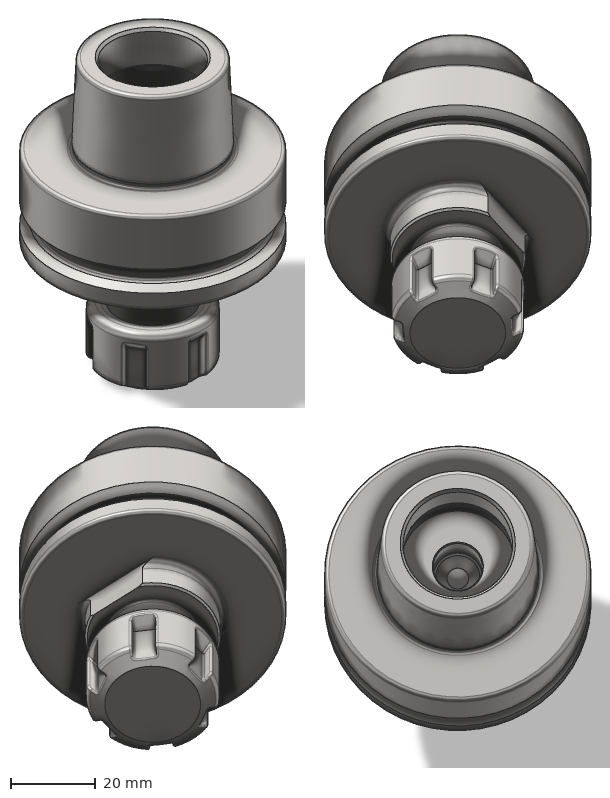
import cadquery as cq
import math


tolerance = 0.001

nut_top = 17.85
collar_bottom = 25.9
flange_bottom = 34.0
flange_top = 60.0
taper_bottom = 62.05
total_height = 85.0

nut_radius = 15.7
nut_face_radius = 11.3
nut_cone_angle = 30.0
nut_cone_height = (nut_radius - nut_face_radius) * math.tan(math.radians(nut_cone_angle))
nut_bottom_fillet = 1.7
nut_top_fillet = 2.0
nut_mouth_radius = 12.4
nut_mouth_depth = 0.4
nut_land_bottom = nut_cone_height + nut_bottom_fillet * math.tan(math.radians(90 - nut_cone_angle) / 2)

slot_count = 6
first_slot_angle = 30
slot_half_width = 2.8
slot_floor_radius = 12.9
slot_floor_top = 12.0
slot_reach = 5.1
slot_inner_fillet = 0.4
slot_rim_fillet = 0.5
short_slot_angle = 150
short_slot_drop = 1.1

neck_radius = 11.05
neck_fillet = 0.5
collar_radius = 16.0
collar_flat_distance = 13.9
collar_chamfer = 0.5
collar_fillet = 1.95

flange_diameter = 63.0
flange_radius = flange_diameter / 2
flange_fillet = 1.0
groove_radius = 27.45
groove_fillet = 0.5
groove_center = 42.1
groove_half_height = 1.95
groove_chamfer_angle = 30.0
groove_chamfer_width = 2.3
groove_chamfer_height = groove_chamfer_width * math.tan(math.radians(groove_chamfer_angle))

taper_bottom_radius = 19.1
taper_top_radius = 18.1
taper_top_fillet = 1.0
relief_radius = 18.9
relief_top = 61.4
relief_fillet = 0.7
relief_depth = 0.2
relief_floor = flange_top - relief_depth
relief_rim_radius = 20.2

bore_radius = 12.9
bore_floor = 65.45
bore_lip = 75.05
undercut_radius = 14.5
undercut_slope_height = 0.9
undercut_chamfer = 0.85
bore_chamfer_width = 0.7
bore_chamfer_height = 0.8
hole_radius = 5.8
hole_chamfer = 0.25
hole_depth = 8.5
pilot_radius = 5.2
pilot_tip_radius = 2.55
pilot_cone_height = 1.6


def revolve(profile):
    """Turn a half outline, closed along the axis, around the Z axis."""
    return profile.close().revolve(360, (0, 0, 0), (0, 1, 0))


def disc(radius, bottom, top):
    """Cylinder on the Z axis between two heights."""
    return cq.Workplane("XY").workplane(offset=bottom).circle(radius).extrude(top - bottom)


def make_slot_cutter(drop):
    """Slot along +X, open below and outside, closed above by a 45 degree slope."""
    floor_top = slot_floor_top - drop
    outer = slot_floor_radius + slot_reach
    cutter = (
        cq.Workplane("XZ")
        .moveTo(slot_floor_radius, -slot_reach)
        .lineTo(slot_floor_radius, floor_top)
        .lineTo(outer, floor_top + slot_reach)
        .lineTo(outer, -slot_reach)
        .close()
        .extrude(slot_half_width, both=True)
    )
    floor_sides = cutter.faces("<X").edges("|Z")
    slope_sides = cutter.edges(cq.selectors.ParallelDirSelector(cq.Vector(1, 0, 1)))
    return floor_sides.add(slope_sides).fillet(slot_inner_fillet)


def is_slot_rim(edge):
    """True for an edge where a slot opens through the cylindrical skin of the nut."""
    middle = edge.positionAt(0.5)
    on_skin = all(
        abs(math.hypot(point.x, point.y) - nut_radius) < tolerance
        for point in (edge.positionAt(0), middle, edge.positionAt(1))
    )
    return on_skin and nut_land_bottom + tolerance < middle.z < nut_top - nut_top_fillet - tolerance


def make_nut():
    """Clamping nut, countersunk where the neck enters and slotted from its lower face upward."""
    mouth_floor = nut_top - nut_mouth_depth
    cone = math.radians(nut_cone_angle)
    setback = nut_land_bottom - nut_cone_height
    profile = (
        cq.Workplane("XZ")
        .lineTo(nut_face_radius, 0)
        .lineTo(nut_radius - setback * math.cos(cone), nut_cone_height - setback * math.sin(cone))
        .radiusArc((nut_radius, nut_land_bottom), -nut_bottom_fillet)
        .lineTo(nut_radius, nut_top - nut_top_fillet)
        .radiusArc((nut_radius - nut_top_fillet, nut_top), -nut_top_fillet)
        .lineTo(nut_mouth_radius, nut_top)
        .lineTo(neck_radius, mouth_floor)
        .lineTo(0, mouth_floor)
    )
    nut = revolve(profile)
    for index in range(slot_count):
        angle = first_slot_angle + index * 360 / slot_count
        drop = short_slot_drop if angle == short_slot_angle else 0
        nut = nut.cut(make_slot_cutter(drop).rotate((0, 0, 0), (0, 0, 1), angle))
    return nut.edges().filter(is_slot_rim).fillet(slot_rim_fillet)


def make_collar():
    """Spanner collar with two opposite flats, flared where it meets the flange."""
    foot_radius = collar_radius + collar_fillet
    flat_length = 4 * collar_radius
    profile = (
        cq.Workplane("XZ")
        .moveTo(0, collar_bottom)
        .lineTo(collar_radius - collar_chamfer, collar_bottom)
        .lineTo(collar_radius, collar_bottom + collar_chamfer)
        .lineTo(collar_radius, flange_bottom - collar_fillet)
        .radiusArc((foot_radius, flange_bottom), collar_fillet)
        .lineTo(0, flange_bottom)
    )
    collar = revolve(profile)
    between_flats = cq.Workplane("XY").box(2 * collar_flat_distance, flat_length, 2 * total_height)
    return collar.intersect(between_flats)


def make_neck():
    """Round neck between nut and collar, flared at its upper end."""
    neck = disc(neck_radius, nut_top - nut_mouth_depth, collar_bottom)
    flare_bottom = collar_bottom - neck_fillet
    flare = (
        cq.Workplane("XZ")
        .moveTo(0, flare_bottom)
        .lineTo(neck_radius, flare_bottom)
        .radiusArc((neck_radius + neck_fillet, collar_bottom), neck_fillet)
        .lineTo(0, collar_bottom)
    )
    return neck.union(revolve(flare))


def make_flange():
    """Flange with a trapezoidal gripper groove and a shallow recess around the shank."""
    flange = disc(flange_radius, flange_bottom, flange_top)
    flange = flange.edges("%CIRCLE").fillet(flange_fillet)
    wall_radius = flange_radius - groove_chamfer_width
    mouth = groove_half_height + groove_chamfer_height
    bottom = groove_center - groove_half_height
    top = groove_center + groove_half_height
    groove = (
        cq.Workplane("XZ")
        .moveTo(flange_radius, groove_center - mouth)
        .lineTo(wall_radius, bottom)
        .lineTo(groove_radius + groove_fillet, bottom)
        .radiusArc((groove_radius, bottom + groove_fillet), groove_fillet)
        .lineTo(groove_radius, top - groove_fillet)
        .radiusArc((groove_radius + groove_fillet, top), groove_fillet)
        .lineTo(wall_radius, top)
        .lineTo(flange_radius, groove_center + mouth)
    )
    relief = (
        cq.Workplane("XZ")
        .moveTo(0, relief_floor)
        .lineTo(relief_radius + relief_fillet, relief_floor)
        .lineTo(relief_rim_radius, flange_top)
        .lineTo(0, flange_top)
    )
    return flange.cut(revolve(groove)).cut(revolve(relief))


def make_shank():
    """Tapered shank whose foot is a short relieved neck running into the flange."""
    profile = (
        cq.Workplane("XZ")
        .moveTo(0, relief_floor)
        .lineTo(relief_radius + relief_fillet, relief_floor)
        .radiusArc((relief_radius, relief_floor + relief_fillet), relief_fillet)
        .lineTo(relief_radius, relief_top)
        .lineTo(taper_bottom_radius, relief_top)
        .lineTo(taper_bottom_radius, taper_bottom)
        .lineTo(taper_top_radius, total_height)
        .lineTo(0, total_height)
    )
    return revolve(profile).faces(">Z").edges().fillet(taper_top_fillet)


def make_bore():
    """Blind shank bore, undercut below a lip, with a hole in its floor ending in a truncated cone."""
    hole_floor = bore_floor - hole_depth
    profile = (
        cq.Workplane("XZ")
        .moveTo(0, hole_floor - pilot_cone_height)
        .lineTo(pilot_tip_radius, hole_floor - pilot_cone_height)
        .lineTo(pilot_radius, hole_floor)
        .lineTo(hole_radius, hole_floor)
        .lineTo(hole_radius, bore_floor - hole_chamfer)
        .lineTo(hole_radius + hole_chamfer, bore_floor)
        .lineTo(undercut_radius - undercut_chamfer, bore_floor)
        .lineTo(undercut_radius, bore_floor + undercut_chamfer)
        .lineTo(undercut_radius, bore_lip - undercut_slope_height)
        .lineTo(bore_radius, bore_lip)
        .lineTo(bore_radius, total_height - bore_chamfer_height)
        .lineTo(bore_radius + bore_chamfer_width, total_height)
        .lineTo(0, total_height)
    )
    return revolve(profile)


nut = make_nut()
body = make_neck().union(make_collar()).union(make_flange()).union(make_shank())
result = nut.union(body).cut(make_bore())